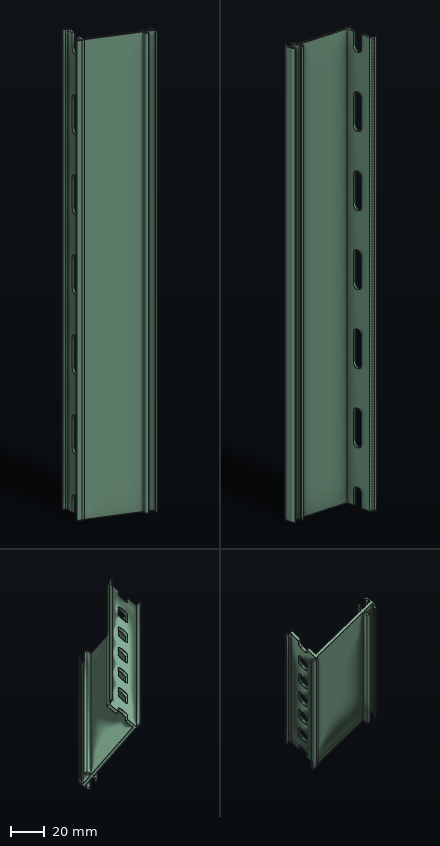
import cadquery as cq

length = 300.0
width = 26.0
depth = 51.0

web_thickness = 1.8
head_half_width = 4.5
web_x = width - head_half_width
web_right = web_x + web_thickness / 2
flange_left = 1.0
flange_back = 4.8
flange_thickness = 1.8
flange_front = flange_back - flange_thickness

foot_thickness = 1.0
foot_height = 1.8
foot_right = 23.0

cap_thickness = 1.0
cap_flat_half_width = 2.0
shoulder_bulge = 0.15
cap_tip_back = depth - 1.2
cap_tip_front = 49.0
lip_thickness = 1.0
lip_lean = 0.5
lip_back = 44.7
cradle_front = 42.5
cradle_back = cradle_front + lip_thickness

slot_width = 7.2
slot_length = 25.0
slot_x = 11.7
slot_spaces = 6
slot_pitch = length / slot_spaces


def box(x_min, x_max, y_min, y_max):
    return cq.Workplane("XY").box(
        x_max - x_min, y_max - y_min, length, centered=False
    ).translate((x_min, y_min, 0))


def bar(points):
    return cq.Workplane("XY").polyline(points).close().extrude(length)


def left_foot():
    return bar([
        (0, 0),
        (foot_thickness, 0),
        (foot_thickness, foot_height),
        (flange_left + foot_thickness, flange_front),
        (flange_left + foot_thickness, flange_back),
        (flange_left, flange_back),
        (flange_left, flange_front),
        (0, foot_height),
    ])


def right_foot():
    return bar([
        (foot_right - foot_thickness, 0),
        (foot_right, 0),
        (foot_right, flange_front),
        (web_right, flange_back),
        (web_right - foot_thickness, flange_back),
        (foot_right - foot_thickness, flange_front),
    ])


def cap_wing():
    """Right half of the cap, with its rounded shoulder drooping to a tip."""
    tip_x = web_x + head_half_width
    shoulder_x = web_x + cap_flat_half_width
    middle_x = (shoulder_x + tip_x) / 2 + shoulder_bulge
    middle_y = (depth + cap_tip_back) / 2 + shoulder_bulge
    return (
        cq.Workplane("XY")
        .moveTo(web_x, depth)
        .lineTo(shoulder_x, depth)
        .threePointArc((middle_x, middle_y), (tip_x, cap_tip_back))
        .lineTo(tip_x, cap_tip_front)
        .lineTo(tip_x - cap_thickness, cap_tip_front)
        .lineTo(shoulder_x, depth - cap_thickness)
        .lineTo(web_x, depth - cap_thickness)
        .close()
        .extrude(length)
    )


def cradle_wing():
    """Right half of the cradle, with a lip leaning outward."""
    tip_x = web_x + head_half_width
    bend_x = tip_x - lip_lean
    return bar([
        (web_x, cradle_front),
        (bend_x, cradle_front),
        (tip_x, lip_back),
        (tip_x - lip_thickness, lip_back),
        (bend_x - lip_thickness, cradle_back),
        (web_x, cradle_back),
    ])


def slot(z):
    return (
        cq.Workplane("XZ", origin=(slot_x, flange_back, z))
        .slot2D(slot_length, slot_width, 90)
        .extrude(flange_back)
    )


result = box(web_x - web_thickness / 2, web_right, flange_front, depth)
result = result.union(box(flange_left, web_right, flange_front, flange_back))
result = result.union(left_foot()).union(right_foot())

web_plane_point = (web_x, 0, 0)
for wing in (cap_wing(), cradle_wing()):
    result = result.union(wing).union(wing.mirror("YZ", web_plane_point))

for index in range(slot_spaces + 1):
    result = result.cut(slot(index * slot_pitch))